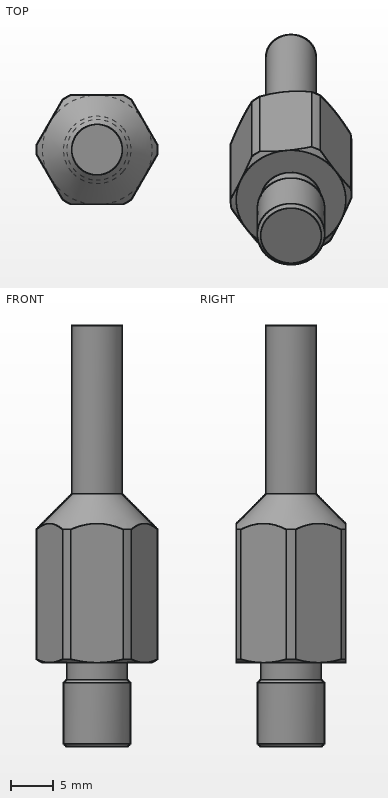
import cadquery as cq
import math

total_height = 50.0
hex_bottom = 10.0
hex_top = 30.0
groove_bottom = 8.0

pin_radius = 3.0
hex_across_flats = 13.0
hex_corner_radius = 7.2
stud_radius = 4.0
groove_radius = 3.6
stud_chamfer = 0.4

top_cone_height = hex_corner_radius - pin_radius
bottom_chamfer_radius = hex_across_flats / 2
bottom_chamfer_height = 0.4


def revolve_profile(points):
    """Revolve a closed (radius, height) outline about the Z axis."""
    return cq.Workplane("XZ").polyline(points).close().revolve(360, (0, 0), (0, 1))


def make_hex_body():
    """Hexagonal prism with its corners and ends turned down."""
    across_corners = hex_across_flats / math.cos(math.pi / 6)
    prism = (
        cq.Workplane("XY")
        .workplane(offset=hex_bottom)
        .polygon(6, across_corners)
        .extrude(hex_top - hex_bottom)
    )
    turned_envelope = revolve_profile([
        (0, hex_bottom),
        (bottom_chamfer_radius, hex_bottom),
        (hex_corner_radius, hex_bottom + bottom_chamfer_height),
        (hex_corner_radius, hex_top - top_cone_height),
        (pin_radius, hex_top),
        (0, hex_top),
    ])
    return prism.intersect(turned_envelope)


def make_stud():
    """Lower stud, chamfered at both ends, with a relief groove under the hexagon."""
    return revolve_profile([
        (0, 0),
        (stud_radius - stud_chamfer, 0),
        (stud_radius, stud_chamfer),
        (stud_radius, groove_bottom - stud_chamfer),
        (groove_radius, groove_bottom),
        (groove_radius, hex_bottom),
        (0, hex_bottom),
    ])


def make_pin():
    """Plain cylindrical pin above the hexagon."""
    return (
        cq.Workplane("XY")
        .workplane(offset=hex_top)
        .circle(pin_radius)
        .extrude(total_height - hex_top)
    )


result = make_hex_body().union(make_stud()).union(make_pin())